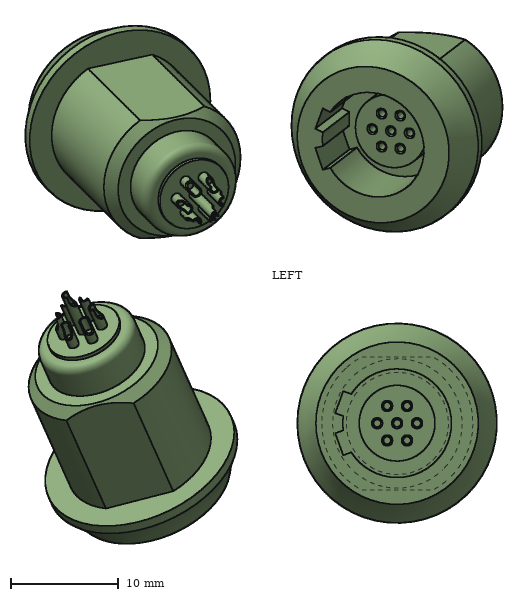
import cadquery as cq
import math


flange_diameter = 18.5
flange_radius = flange_diameter / 2
flange_thickness = 4.0
front_face_radius = 7.52
flare_length = 3.05
flare_hollow = 0.1

barrel_radius = 7.0
barrel_end = 16.38
barrel_chamfer = 1.0
flat_half_height = 6.18

collar_radius = 4.73
collar_end = 19.82
collar_fillet = 0.8
insert_radius = 3.5
insert_start = 4.63
insert_end = 20.2

socket_radius = 5.03
socket_depth = 6.97
keyway_floor_radius = 5.7
keyway_width = 2.17
keyway_angle = 20

contact_circle_radius = 1.85
outer_contact_count = 6
contact_radius = 0.5
outer_contact_end = 22.68
center_contact_end = 24.9

cup_flat_length = 0.55
cup_runout_radius = 1.12
cup_bore_radius = 0.35

entry_radius = 0.35
entry_depth = 2.0
entry_chamfer = 0.15
entry_chamfer_angle = 45


def cylinder(radius, x_start, x_end):
    """Cylinder on the X axis."""
    return cq.Workplane("YZ", origin=(x_start, 0, 0)).circle(radius).extrude(x_end - x_start)


def make_flange():
    flare_middle = (
        flare_length / 2,
        (front_face_radius + flange_radius) / 2 - flare_hollow,
    )
    profile = (
        cq.Workplane("XY")
        .lineTo(0, front_face_radius)
        .threePointArc(flare_middle, (flare_length, flange_radius))
        .lineTo(flange_thickness, flange_radius)
        .lineTo(flange_thickness, 0)
        .close()
    )
    return profile.revolve(360, (0, 0, 0), (1, 0, 0))


def make_barrel():
    barrel = cylinder(barrel_radius, 0, barrel_end).faces(">X").chamfer(barrel_chamfer)
    between_flats = cq.Workplane("XY").box(
        2 * barrel_end, 2 * barrel_radius, 2 * flat_half_height
    )
    return barrel.intersect(between_flats)


def make_collar():
    return cylinder(collar_radius, 0, collar_end).faces(">X").edges().fillet(collar_fillet)


def make_socket():
    socket = cylinder(socket_radius, 0, socket_depth)
    for angle in (-keyway_angle, keyway_angle):
        keyway = (
            cq.Workplane("XY")
            .box(socket_depth, keyway_floor_radius, keyway_width, centered=(False, False, True))
            .rotate((0, 0, 0), (1, 0, 0), angle)
        )
        socket = socket.union(keyway)
    return socket


def make_contact(x_end):
    """Contact on the X axis whose solder cup opens toward +Y."""
    runout_end = x_end - cup_flat_length
    runout_length = math.sqrt(cup_runout_radius**2 - (cup_runout_radius - contact_radius) ** 2)
    cup_start = runout_end - runout_length

    runout_middle_angle = math.asin(runout_length / cup_runout_radius) / 2
    runout_middle = (
        runout_end - cup_runout_radius * math.sin(runout_middle_angle),
        cup_runout_radius * (1 - math.cos(runout_middle_angle)),
    )
    cup_opening = (
        cq.Workplane("XY")
        .moveTo(x_end, 0)
        .lineTo(runout_end, 0)
        .threePointArc(runout_middle, (cup_start, contact_radius))
        .lineTo(x_end, contact_radius)
        .close()
        .extrude(contact_radius, both=True)
    )
    cup_bore = cylinder(cup_bore_radius, cup_start, x_end)
    return cylinder(contact_radius, collar_end, x_end).cut(cup_opening).cut(cup_bore)


def make_entry_hole():
    hole = cylinder(entry_radius, insert_start, insert_start + entry_depth)
    lead_in = (
        cq.Workplane("YZ", origin=(insert_start, 0, 0))
        .circle(entry_radius + entry_chamfer)
        .extrude(entry_chamfer, taper=entry_chamfer_angle)
    )
    return hole.union(lead_in)


def place_outer(shape, index):
    """Move a shape from the axis to one of the places on the contact circle."""
    angle = index * 360 / outer_contact_count
    return shape.translate((0, contact_circle_radius, 0)).rotate((0, 0, 0), (1, 0, 0), angle)


result = (
    make_flange()
    .union(make_barrel())
    .union(make_collar())
    .cut(make_socket())
    .union(cylinder(insert_radius, insert_start, insert_end))
    .union(make_contact(center_contact_end))
    .cut(make_entry_hole())
)
for contact_index in range(outer_contact_count):
    result = result.union(place_outer(make_contact(outer_contact_end), contact_index))
    result = result.cut(place_outer(make_entry_hole(), contact_index))